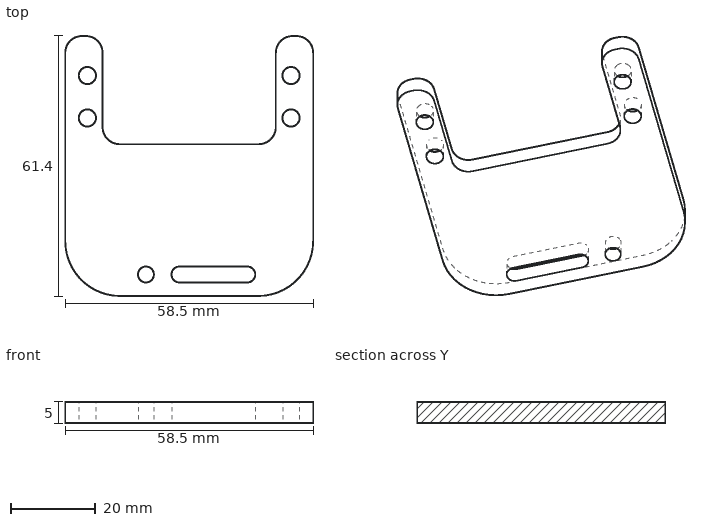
import cadquery as cq

WIDTH = 58.5
LENGTH = 61.35
THICKNESS = 5.0
CORNER_RADIUS = 13.0

ARM_WIDTH = 8.85
NOTCH_DEPTH = 25.5
ARM_TIP_RADIUS = 4.0
NOTCH_CORNER_RADIUS = 4.0

MOUNT_HOLE_DIAMETER = 4.0
MOUNT_HOLE_SPACING_X = 48.0
MOUNT_HOLE_SPACING_Y = 10.0
MOUNT_HOLE_Y = 47.0

PIVOT_DIAMETER = 3.7
PIVOT_X = -10.2
SLOT_WIDTH = PIVOT_DIAMETER
SLOT_LENGTH = 19.7
SLOT_X = 5.7
SLOT_LINE_Y = 5.1


def make_plate():
    """U-shaped plate with rounded corners, arm tips and notch corners."""
    notch_width = WIDTH - 2 * ARM_WIDTH
    plate = cq.Workplane("XY").box(WIDTH, LENGTH, THICKNESS, centered=(True, False, False))
    plate = plate.edges("|Z and <Y").fillet(CORNER_RADIUS)
    notch = (
        cq.Workplane("XY")
        .box(notch_width, NOTCH_DEPTH, THICKNESS, centered=(True, False, False))
        .translate((0, LENGTH - NOTCH_DEPTH, 0))
        .edges("|Z and <Y")
        .fillet(NOTCH_CORNER_RADIUS)
    )
    return plate.cut(notch).edges("|Z and >Y").fillet(ARM_TIP_RADIUS)


def make_mount_holes():
    """Two through holes in each arm."""
    return (
        cq.Workplane("XY")
        .center(0, MOUNT_HOLE_Y)
        .rarray(MOUNT_HOLE_SPACING_X, MOUNT_HOLE_SPACING_Y, 2, 2)
        .circle(MOUNT_HOLE_DIAMETER / 2)
        .extrude(THICKNESS)
    )


def make_pivot_hole():
    """Through hole beside the slot."""
    return (
        cq.Workplane("XY")
        .center(PIVOT_X, SLOT_LINE_Y)
        .circle(PIVOT_DIAMETER / 2)
        .extrude(THICKNESS)
    )


def make_slot():
    """Through slot with round ends, running along X."""
    return (
        cq.Workplane("XY")
        .center(SLOT_X, SLOT_LINE_Y)
        .slot2D(SLOT_LENGTH, SLOT_WIDTH)
        .extrude(THICKNESS)
    )


result = make_plate().cut(make_mount_holes()).cut(make_pivot_hole()).cut(make_slot())